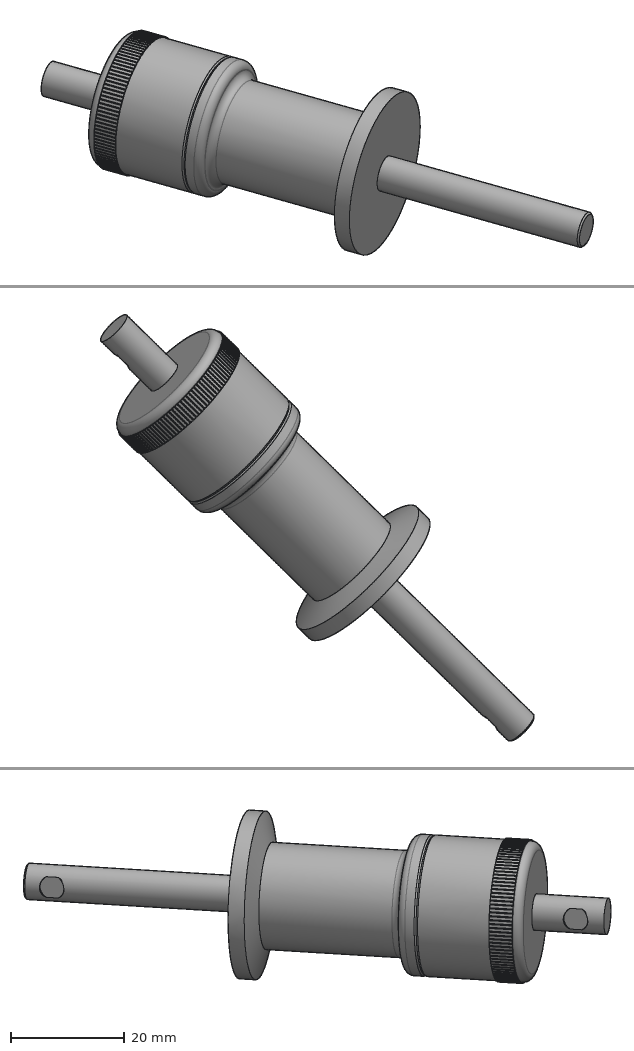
import cadquery as cq
import math

total_length = 104.6
shaft_radius = 3.2
shaft_tip_chamfer = 0.3
dimple_radius = 2.2
dimple_inset = 5.1
dimple_depth = 0.6

knob_start = 13.0
knob_radius = 12.6
front_fillet = 1.6
front_fillet_end = knob_start + front_fillet
neck_radius = 9.5
shoulder_fillet = 1.5
shoulder_end = 36.9
shoulder_face = shoulder_end - shoulder_fillet
shoulder_start = shoulder_face - shoulder_fillet
groove_start = 31.7
groove_width = 0.6
groove_depth = 0.2

knurl_start = 14.7
knurl_width = 4.2
knurl_radius = 12.8
knurl_count = 115
knurl_groove_width = 0.2
knurl_groove_depth = 0.1

flange_radius = 15.0
flange_end = 65.4
flange_rim_width = 2.9
flange_cone_angle = 16.0
flange_rim_start = flange_end - flange_rim_width
flange_cone_length = (flange_radius - neck_radius) * math.tan(math.radians(flange_cone_angle))
flange_cone_start = flange_rim_start - flange_cone_length


def point_on_arc(center_x, center_r, radius, angle):
    """Point (x, r) of a profile arc, with the angle in degrees from the +X direction."""
    turn = math.radians(angle)
    return center_x + radius * math.cos(turn), center_r + radius * math.sin(turn)


def make_turned_body():
    """Knob, neck and flange from one half profile turned about X."""
    front_middle = point_on_arc(front_fillet_end, knob_radius - front_fillet, front_fillet, 135)
    convex_middle = point_on_arc(shoulder_start, knob_radius - shoulder_fillet, shoulder_fillet, 45)
    concave_middle = point_on_arc(shoulder_end, neck_radius + shoulder_fillet, shoulder_fillet, 225)
    profile = (
        cq.Workplane("XY")
        .moveTo(knob_start, 0)
        .lineTo(knob_start, knob_radius - front_fillet)
        .threePointArc(front_middle, (front_fillet_end, knob_radius))
        .lineTo(groove_start, knob_radius)
        .lineTo(groove_start + groove_width / 2, knob_radius - groove_depth)
        .lineTo(groove_start + groove_width, knob_radius)
        .lineTo(shoulder_start, knob_radius)
        .threePointArc(convex_middle, (shoulder_face, knob_radius - shoulder_fillet))
        .lineTo(shoulder_face, neck_radius + shoulder_fillet)
        .threePointArc(concave_middle, (shoulder_end, neck_radius))
        .lineTo(flange_cone_start, neck_radius)
        .lineTo(flange_rim_start, flange_radius)
        .lineTo(flange_end, flange_radius)
        .lineTo(flange_end, 0)
        .close()
    )
    return profile.revolve(360, (0, 0), (1, 0))


def make_knurl():
    """Raised band cut by straight V grooves along X, with one groove facing +Y."""
    pitch = 2 * math.pi / knurl_count
    half_groove = knurl_groove_width / knurl_radius / 2
    outline = []
    for groove in range(knurl_count):
        middle = groove * pitch
        corners = (
            (knurl_radius, middle - half_groove),
            (knurl_radius - knurl_groove_depth, middle),
            (knurl_radius, middle + half_groove),
        )
        for radius, angle in corners:
            outline.append((radius * math.cos(angle), radius * math.sin(angle)))
    plane = cq.Workplane("YZ").workplane(offset=knurl_start)
    return plane.polyline(outline).close().extrude(knurl_width)


def make_shaft():
    """Full-length shaft, chamfered at the far end, with a dimple near each end."""
    shaft = cq.Workplane("YZ").circle(shaft_radius).extrude(total_length)
    shaft = shaft.faces(">X").chamfer(shaft_tip_chamfer)
    for center in (dimple_inset, total_length - dimple_inset):
        floor = cq.Workplane("XZ", origin=(center, shaft_radius - dimple_depth, 0))
        shaft = shaft.cut(floor.circle(dimple_radius).extrude(-2 * dimple_depth))
    return shaft


result = make_turned_body().union(make_knurl()).union(make_shaft())